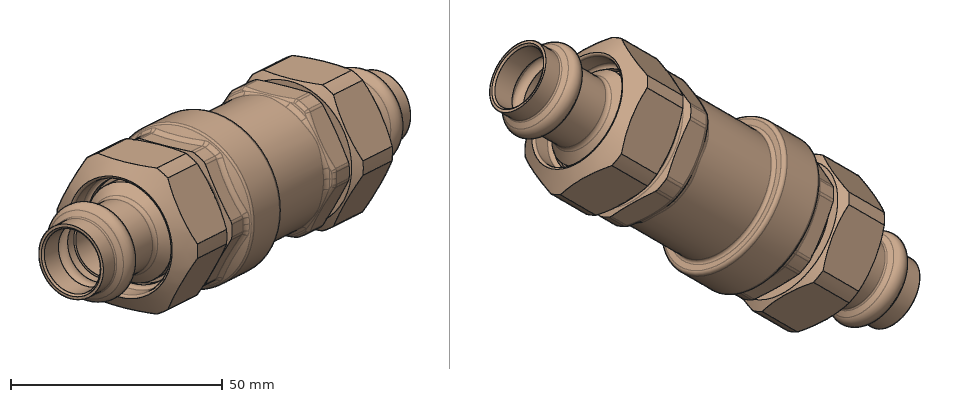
import cadquery as cq
import math

half_length = 62.9

tube_radius = 18.8 / 2
tube_inner_radius = 16.2 / 2
bore_radius = 15.1 / 2
socket_depth = 12.6
rim_chamfer = 0.5
bead_from_end = 8.2
bead_radius = 24.7 / 2
bead_crown_round = 2.6
bead_root_round = 0.5
bead_flank_angle = 60.0
groove_round = 1.9
neck_y = 42.8
neck_round = 1.9
neck_cone_angle = 45.0
flange_radius = 25.0 / 2
shoulder_radius = 30.2 / 2

nut_across_flats = 37.0
nut_corner_radius = 20.4
nut_outer_y = 42.9
nut_inner_y = 26.5
nut_outer_face_radius = 30.3 / 2
nut_inner_face_radius = 36.0 / 2
nut_mouth_radius = 14.5
nut_lip_radius = 26.9 / 2
nut_lip_outer_y = 37.3
nut_lip_inner_y = 35.7
nut_edge_round = nut_outer_face_radius - nut_mouth_radius
nut_mouth_round = nut_mouth_radius - nut_lip_radius

spigot_radius = 30.3 / 2
spigot_end_y = 32.7
spigot_root_round = 0.5
barrel_radius = 17.2
hex_across_flats = 35.0
hex_corner_radius = 19.1
hex_corner_blend = 1.9
hex_outer_y = 24.5
hex_end_face_radius = 17.0
hex_end_chamfer = 0.5
upper_hex_shoulder_y = 18.1
upper_hex_shoulder_round = 1.3
hex_root_round = 1.6
collar_radius = 41.4 / 2
collar_top_y = -5.8
collar_bottom_y = -17.6
collar_top_round = 1.0
collar_root_round = 0.9
collar_bottom_round = 0.8

slope_tan = math.tan(math.radians(30))
arc_middle = 1 - math.sqrt(0.5)
hex_half_flats = hex_across_flats / 2
reach = 2 * collar_radius
edge_margin = 0.06


def spin(outline):
    """Solid of revolution about the Y axis of an outline with x as the radius."""
    return outline.close().revolve(360, (0, 0, 0), (0, 1, 0))


def cylinder(radius, y_start, y_end):
    """Plain cylinder along Y."""
    return cq.Workplane("XZ", origin=(0, y_end, 0)).circle(radius).extrude(y_end - y_start)


def hex_prism(across_flats, y_start, y_end):
    """Hexagonal bar along Y with two flats facing up and down."""
    corner_diameter = across_flats / math.cos(math.radians(30))
    return cq.Workplane("XZ", origin=(0, y_end, 0)).polygon(6, corner_diameter).extrude(y_end - y_start)


def edges_between(y_start, y_end):
    """Selector for the edges that lie wholly between two places along Y."""
    return cq.selectors.BoxSelector(
        (-reach, y_start - edge_margin, -reach), (reach, y_end + edge_margin, reach), boundingbox=True
    )




def make_bead():
    """Bead centred on the origin: a rounded crown, straight flanks and root fillets on the tube."""
    angle = math.radians(bead_flank_angle)
    flank_top_radius = bead_radius - bead_crown_round * (1 - math.cos(angle))
    flank_top_y = bead_crown_round * math.sin(angle)
    flank_foot_radius = tube_radius + bead_root_round * (1 - math.cos(angle))
    flank_foot_y = flank_top_y + (flank_top_radius - flank_foot_radius) / math.tan(angle)
    root_y = flank_foot_y + bead_root_round * math.sin(angle)
    root_middle_radius = tube_radius + bead_root_round * (1 - math.cos(angle / 2))
    root_middle_y = root_y - bead_root_round * math.sin(angle / 2)
    return spin(
        cq.Workplane("XY")
        .moveTo(0, root_y)
        .lineTo(tube_radius, root_y)
        .threePointArc((root_middle_radius, root_middle_y), (flank_foot_radius, flank_foot_y))
        .lineTo(flank_top_radius, flank_top_y)
        .threePointArc((bead_radius, 0), (flank_top_radius, -flank_top_y))
        .lineTo(flank_foot_radius, -flank_foot_y)
        .threePointArc((root_middle_radius, -root_middle_y), (tube_radius, -root_y))
        .lineTo(0, -root_y)
    )


def make_tube_outside(side):
    """Tube without its bore, flaring through a neck and cone into the flange and its shoulder."""
    angle = math.radians(neck_cone_angle)
    cone_top_radius = tube_radius + neck_round * (1 - math.cos(angle))
    cone_top_y = neck_y - neck_round * math.sin(angle)
    neck_middle_radius = tube_radius + neck_round * (1 - math.cos(angle / 2))
    neck_middle_y = neck_y - neck_round * math.sin(angle / 2)
    cone_end_y = cone_top_y - (flange_radius - cone_top_radius) / math.tan(angle)
    return spin(
        cq.Workplane("XY")
        .moveTo(0, side * half_length)
        .lineTo(tube_radius, side * half_length)
        .lineTo(tube_radius, side * neck_y)
        .threePointArc((neck_middle_radius, side * neck_middle_y), (cone_top_radius, side * cone_top_y))
        .lineTo(flange_radius, side * cone_end_y)
        .lineTo(flange_radius, side * nut_lip_inner_y)
        .lineTo(shoulder_radius, side * nut_lip_inner_y)
        .lineTo(shoulder_radius, side * spigot_end_y)
        .lineTo(0, side * spigot_end_y)
    )


def make_tube_bore(side):
    """Bore with a wider socket at the outer end and a chamfered rim."""
    socket_end_y = half_length - socket_depth
    return spin(
        cq.Workplane("XY")
        .moveTo(0, side * spigot_end_y)
        .lineTo(bore_radius, side * spigot_end_y)
        .lineTo(bore_radius, side * socket_end_y)
        .lineTo(tube_inner_radius, side * socket_end_y)
        .lineTo(tube_inner_radius, side * (half_length - rim_chamfer))
        .lineTo(tube_inner_radius + rim_chamfer, side * half_length)
        .lineTo(0, side * half_length)
    )


def make_tube(side):
    """Press-fit tube with a bead, a round groove inside the bead, and a flange that the nut holds."""
    bead_centre = cq.Vector(0, side * (half_length - bead_from_end), 0)
    groove = cq.Solid.makeTorus(tube_inner_radius, groove_round, bead_centre, cq.Vector(0, 1, 0))
    tube = make_tube_outside(side).union(make_bead().translate(bead_centre))
    return tube.cut(make_tube_bore(side)).cut(cq.Workplane(groove))




def make_nut(side):
    """Union nut: chamfered hexagon with a rounded mouth and an inner lip that holds the tube."""
    outer_chamfer_y = nut_outer_y - (nut_corner_radius - nut_outer_face_radius) * slope_tan
    inner_chamfer_y = nut_inner_y + (nut_corner_radius - nut_inner_face_radius) * slope_tan
    edge_middle = nut_edge_round * arc_middle
    mouth_middle = nut_mouth_round * arc_middle
    turned_blank = spin(
        cq.Workplane("XY")
        .moveTo(spigot_radius, side * nut_inner_y)
        .lineTo(nut_inner_face_radius, side * nut_inner_y)
        .lineTo(nut_corner_radius, side * inner_chamfer_y)
        .lineTo(nut_corner_radius, side * outer_chamfer_y)
        .lineTo(nut_outer_face_radius, side * nut_outer_y)
        .threePointArc(
            (nut_mouth_radius + edge_middle, side * (nut_outer_y - edge_middle)),
            (nut_mouth_radius, side * (nut_outer_y - nut_edge_round)),
        )
        .lineTo(nut_mouth_radius, side * (nut_lip_outer_y + nut_mouth_round))
        .threePointArc(
            (nut_mouth_radius - mouth_middle, side * (nut_lip_outer_y + mouth_middle)),
            (nut_lip_radius, side * nut_lip_outer_y),
        )
        .lineTo(nut_lip_radius, side * nut_lip_inner_y)
        .lineTo(spigot_radius, side * nut_lip_inner_y)
    )
    near_y, far_y = sorted((side * nut_inner_y, side * nut_outer_y))
    return turned_blank.intersect(hex_prism(nut_across_flats, near_y, far_y))




def rounded_hex(y_start, y_end):
    """Body hexagon with cylindrical corners blended into its flats."""
    bar = hex_prism(hex_across_flats, y_start, y_end).intersect(cylinder(hex_corner_radius, y_start, y_end))
    return bar.edges("|Y").fillet(hex_corner_blend)


def make_upper_hex_and_barrel():
    """Hexagon at the +Y end, sloping down to the barrel through a rounded shoulder and foot."""
    flats_end_y = upper_hex_shoulder_y - (hex_corner_radius - hex_half_flats) * slope_tan
    foot_y = upper_hex_shoulder_y - (hex_corner_radius - barrel_radius) * slope_tan
    slope_end_y = upper_hex_shoulder_y - (hex_corner_radius - bore_radius) * slope_tan
    turned_blank = spin(
        cq.Workplane("XY")
        .moveTo(0, hex_outer_y)
        .lineTo(hex_end_face_radius, hex_outer_y)
        .lineTo(hex_corner_radius, hex_outer_y - hex_end_chamfer)
        .lineTo(hex_corner_radius, upper_hex_shoulder_y)
        .lineTo(bore_radius, slope_end_y)
        .lineTo(0, slope_end_y)
    )
    hexagon = rounded_hex(slope_end_y, hex_outer_y).intersect(turned_blank)
    hexagon = hexagon.edges(edges_between(flats_end_y, upper_hex_shoulder_y)).fillet(upper_hex_shoulder_round)
    barrel = cylinder(barrel_radius, collar_top_y, upper_hex_shoulder_y)
    return hexagon.union(barrel).edges(edges_between(foot_y, foot_y)).fillet(hex_root_round)


def make_lower_hex():
    """Hexagon at the -Y end, reaching into the collar."""
    turned_blank = spin(
        cq.Workplane("XY")
        .moveTo(0, -hex_outer_y)
        .lineTo(hex_end_face_radius, -hex_outer_y)
        .lineTo(hex_corner_radius, hex_end_chamfer - hex_outer_y)
        .lineTo(hex_corner_radius, collar_bottom_y)
        .lineTo(0, collar_bottom_y)
    )
    return rounded_hex(-hex_outer_y, collar_bottom_y).intersect(turned_blank)


def make_collar_and_lower_hex():
    """Rounded collar whose sloping underside blends into the lower hexagon."""
    slope_end_y = collar_bottom_y - (collar_radius - bore_radius) * slope_tan
    collar = spin(
        cq.Workplane("XY")
        .moveTo(0, collar_top_y)
        .lineTo(collar_radius, collar_top_y)
        .lineTo(collar_radius, collar_bottom_y)
        .lineTo(bore_radius, slope_end_y)
        .lineTo(0, slope_end_y)
    )
    seam_at_corners_y = collar_bottom_y - (collar_radius - hex_corner_radius) * slope_tan
    seam_at_flats_y = collar_bottom_y - (collar_radius - hex_half_flats) * slope_tan
    blended = collar.union(make_lower_hex())
    blended = blended.edges(edges_between(seam_at_flats_y, seam_at_corners_y)).fillet(hex_root_round)
    return blended.edges(edges_between(collar_bottom_y, collar_bottom_y)).fillet(collar_bottom_round)


def make_spigot(side):
    """Round neck that goes into a nut, with a small fillet where it leaves the hexagon."""
    root_middle = spigot_root_round * arc_middle
    return spin(
        cq.Workplane("XY")
        .moveTo(0, side * hex_outer_y)
        .lineTo(spigot_radius + spigot_root_round, side * hex_outer_y)
        .threePointArc(
            (spigot_radius + root_middle, side * (hex_outer_y + root_middle)),
            (spigot_radius, side * (hex_outer_y + spigot_root_round)),
        )
        .lineTo(spigot_radius, side * spigot_end_y)
        .lineTo(0, side * spigot_end_y)
    )


def make_valve_body():
    """Valve body: collar, barrel, two hexagons and two spigots, with a bore through it."""
    body = make_collar_and_lower_hex().union(make_upper_hex_and_barrel())
    collar_top = edges_between(collar_top_y, collar_top_y)
    body = body.edges(collar_top).edges(cq.selectors.RadiusNthSelector(0)).fillet(collar_root_round)
    body = body.edges(collar_top).edges(cq.selectors.RadiusNthSelector(-1)).fillet(collar_top_round)
    for side in (1, -1):
        body = body.union(make_spigot(side))
    return body.cut(cylinder(bore_radius, -spigot_end_y, spigot_end_y))


valve_body = make_valve_body()
nuts = [make_nut(side) for side in (1, -1)]
tubes = [make_tube(side) for side in (1, -1)]

result = cq.Compound.makeCompound(
    [valve_body.val()] + [nut.val() for nut in nuts] + [tube.val() for tube in tubes]
)